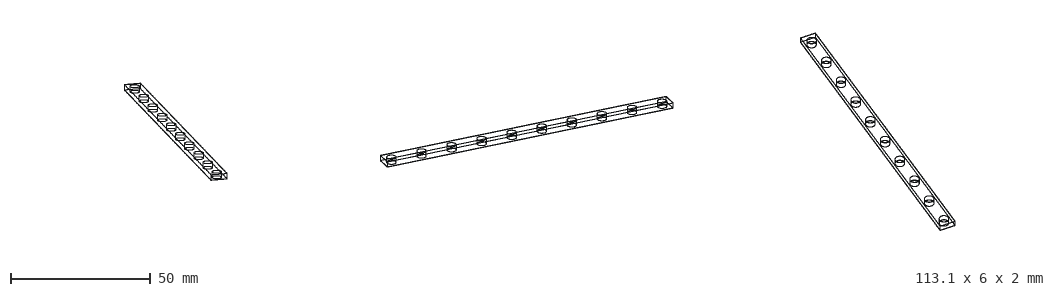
import cadquery as cq

length = 113.1
width = 6.0
thickness = 2.0

hole_count = 10
hole_diameter = 3.4
end_margin = width / 2
hole_pitch = (length - 2 * end_margin) / (hole_count - 1)

bar = cq.Workplane("XY").box(length, width, thickness)

result = (
    bar.faces(">Z")
    .workplane()
    .rarray(hole_pitch, width, hole_count, 1)
    .hole(hole_diameter)
)